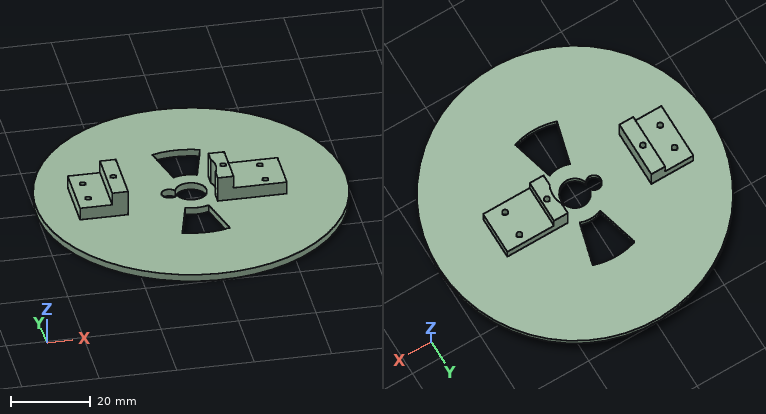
import cadquery as cq
import math

disc_diameter = 80.0
disc_thickness = 2.0
bore_diameter = 8.0
notch_diameter = 4.0
notch_x = -5.6

window_inner_radius = 8.0
window_outer_radius = 20.0
window_side_angle = 15.0
window_side_offset = 1.0

pad_height = 3.4
rail_height = 3.4
rail_width = 4.1
left_inner_x = -17.8
left_length = 12.4
left_width = 15.7
right_inner_x = 5.7
right_length = 17.8
right_width = 11.9
relief_radius = 6.4

hole_diameter = 1.5
hole_pair_spacing = 7.0
left_rail_hole_x = -20.1
left_pad_holes_x = -27.3
right_rail_hole_x = 8.2
right_pad_holes_x = 18.5


def window_corner(radius):
    """Point on the right side line of the upper window at a given radius."""
    angle = math.radians(window_side_angle)
    along = -window_side_offset * math.sin(angle)
    along += math.sqrt(radius**2 - (window_side_offset * math.cos(angle)) ** 2)
    return (window_side_offset + along * math.sin(angle), along * math.cos(angle))


def window():
    inner_x, inner_y = window_corner(window_inner_radius)
    outer_x, outer_y = window_corner(window_outer_radius)
    return (
        cq.Workplane("XY")
        .moveTo(inner_x, inner_y)
        .lineTo(outer_x, outer_y)
        .threePointArc((0, window_outer_radius), (-outer_x, outer_y))
        .lineTo(-inner_x, inner_y)
        .threePointArc((0, window_inner_radius), (inner_x, inner_y))
        .close()
        .extrude(disc_thickness)
    )


def disc():
    plate = cq.Workplane("XY").circle(disc_diameter / 2).extrude(disc_thickness)
    bore = cq.Workplane("XY").circle(bore_diameter / 2).extrude(disc_thickness)
    notch = cq.Workplane("XY").center(notch_x, 0).circle(notch_diameter / 2).extrude(disc_thickness)
    upper_window = window()
    return plate.cut(bore).cut(notch).cut(upper_window).cut(upper_window.mirror("XZ"))


def stepped_block(inner_x, outward, length, width, rail_hole_x, pad_holes_x):
    """Block growing from inner_x along X; outward is +1 or -1."""
    top_of_disc = cq.Workplane("XY").workplane(offset=disc_thickness)
    full_height = pad_height + rail_height
    pad = top_of_disc.center(inner_x + outward * length / 2, 0).rect(length, width).extrude(pad_height)
    rail = top_of_disc.center(inner_x + outward * rail_width / 2, 0).rect(rail_width, width).extrude(full_height)
    hole_points = [
        (rail_hole_x, 0),
        (pad_holes_x, hole_pair_spacing / 2),
        (pad_holes_x, -hole_pair_spacing / 2),
    ]
    holes = top_of_disc.pushPoints(hole_points).circle(hole_diameter / 2).extrude(full_height)
    return pad.union(rail).cut(holes)


left_block = stepped_block(
    left_inner_x, -1, left_length, left_width, left_rail_hole_x, left_pad_holes_x
)
right_block = stepped_block(
    right_inner_x, 1, right_length, right_width, right_rail_hole_x, right_pad_holes_x
)
relief = (
    cq.Workplane("XY")
    .workplane(offset=disc_thickness)
    .circle(relief_radius)
    .extrude(pad_height + rail_height)
)

result = disc().union(left_block).union(right_block.cut(relief))